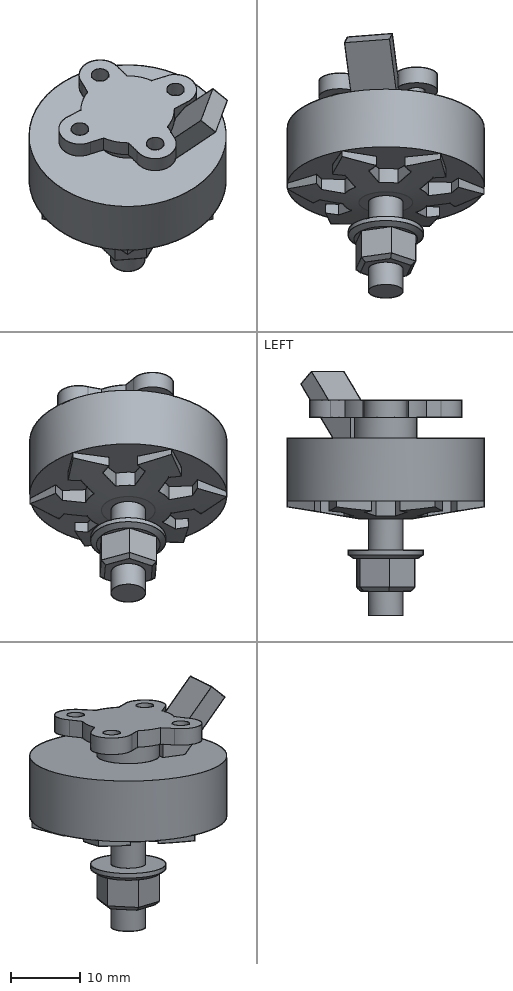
import cadquery as cq
import math

nut_bottom_z = 3.5
flange_bottom_z = 8.25
flange_top_z = 9.48
cone_bottom_z = 14.0
body_bottom_z = 16.63
body_top_z = 25.72
plate_bottom_z = 28.73
plate_top_z = 31.2
overall_height = 35.38

body_radius = 14.3
neck_radius = 4.53
stud_radius = 2.5
flange_radius = 5.45
flange_rim_thickness = 0.67

nut_across_flats = 8.0
nut_corner_radius = nut_across_flats / math.sqrt(3)
nut_turn = 6.5
nut_chamfer = 0.6

blade_count = 6
blade_first_angle = 30
blade_half_width = 1.9
barb_half_width = 3.57
barb_distance = 10.3
head_back_distance = 9.45
star_core_radius = 6.37
cone_flat_radius = 3.9
cone_rim_depth = 0.9

lobe_count = 4
hub_radius = 6.75
lobe_radius = 3.05
lobe_distance = 8.0
lobe_root_half_width = 3.3
hole_diameter = 2.5

lever_direction = 45
lever_width = 6.65
lever_thickness = 2.85
lever_slope = math.radians(50)
lever_back = 3.93
lever_tip = 14.08
lever_bend = 6.65


def cylinder(radius, bottom_z, top_z):
    return cq.Workplane("XY").workplane(offset=bottom_z).circle(radius).extrude(top_z - bottom_z)


def make_nut():
    """Hexagon with a chamfered lower rim, under a round flange tapering down to it."""
    hexagon = (
        cq.Workplane("XY")
        .workplane(offset=nut_bottom_z)
        .polygon(6, 2 * nut_corner_radius)
        .extrude(flange_bottom_z - nut_bottom_z)
        .faces("<Z")
        .chamfer(nut_chamfer)
        .rotate((0, 0, 0), (0, 0, 1), nut_turn)
    )
    flange = (
        cq.Workplane("XZ")
        .moveTo(0, flange_bottom_z)
        .lineTo(nut_corner_radius, flange_bottom_z)
        .lineTo(flange_radius, flange_top_z - flange_rim_thickness)
        .lineTo(flange_radius, flange_top_z)
        .lineTo(0, flange_top_z)
        .close()
        .revolve(360, (0, 0, 0), (0, 1, 0))
    )
    return hexagon.union(flange)


def make_star():
    """Arrow-headed blades around a round core, trimmed to a shallow cone."""
    height = body_bottom_z - cone_bottom_z
    star = cylinder(star_core_radius, cone_bottom_z, body_bottom_z)
    blade = (
        cq.Workplane("XY")
        .workplane(offset=cone_bottom_z)
        .moveTo(0, -blade_half_width)
        .lineTo(head_back_distance, -blade_half_width)
        .lineTo(barb_distance, -barb_half_width)
        .lineTo(body_radius, 0)
        .lineTo(barb_distance, barb_half_width)
        .lineTo(head_back_distance, blade_half_width)
        .lineTo(0, blade_half_width)
        .close()
        .extrude(height)
    )
    for index in range(blade_count):
        angle = blade_first_angle + index * 360 / blade_count
        star = star.union(blade.rotate((0, 0, 0), (0, 0, 1), angle))
    cone = (
        cq.Workplane("XZ")
        .moveTo(0, cone_bottom_z)
        .lineTo(cone_flat_radius, cone_bottom_z)
        .lineTo(body_radius, body_bottom_z - cone_rim_depth)
        .lineTo(body_radius, body_bottom_z)
        .lineTo(0, body_bottom_z)
        .close()
        .revolve(360, (0, 0, 0), (0, 1, 0))
    )
    return star.intersect(cone)


def make_plate():
    """Round hub with four tapering lobes, each with a through hole."""
    thickness = plate_top_z - plate_bottom_z
    plate = cylinder(hub_radius, plate_bottom_z, plate_top_z)
    lobe_root = math.sqrt(hub_radius**2 - lobe_root_half_width**2)
    lobe = (
        cq.Workplane("XY")
        .workplane(offset=plate_bottom_z)
        .moveTo(0, -lobe_root_half_width)
        .lineTo(lobe_root, -lobe_root_half_width)
        .lineTo(lobe_distance, -lobe_radius)
        .threePointArc((lobe_distance + lobe_radius, 0), (lobe_distance, lobe_radius))
        .lineTo(lobe_root, lobe_root_half_width)
        .lineTo(0, lobe_root_half_width)
        .close()
        .extrude(thickness)
    )
    for index in range(lobe_count):
        plate = plate.union(lobe.rotate((0, 0, 0), (0, 0, 1), index * 360 / lobe_count))
    holes = (
        cq.Workplane("XY")
        .workplane(offset=plate_bottom_z)
        .polarArray(lobe_distance, 0, 360, lobe_count)
        .circle(hole_diameter / 2)
        .extrude(thickness)
    )
    return plate.cut(holes)


def make_lever():
    """Bar with a square-cut end, rising outwards from a block beside the neck."""
    top_distance = lever_tip - lever_thickness * math.sin(lever_slope)
    tip_z = overall_height - lever_thickness * math.cos(lever_slope)
    bend_z = overall_height - (top_distance - lever_bend) * math.tan(lever_slope)
    foot_distance = lever_tip - (tip_z - body_top_z) / math.tan(lever_slope)
    return (
        cq.Workplane("XZ")
        .moveTo(lever_back, body_top_z)
        .lineTo(foot_distance, body_top_z)
        .lineTo(lever_tip, tip_z)
        .lineTo(top_distance, overall_height)
        .lineTo(lever_bend, bend_z)
        .lineTo(lever_back, bend_z)
        .close()
        .extrude(lever_width / 2, both=True)
        .rotate((0, 0, 0), (0, 0, 1), lever_direction)
    )


result = (
    cylinder(body_radius, body_bottom_z, body_top_z)
    .union(cylinder(neck_radius, body_top_z, plate_bottom_z))
    .union(cylinder(stud_radius, 0, cone_bottom_z))
    .union(make_star())
    .union(make_nut())
    .union(make_plate())
    .union(make_lever())
)